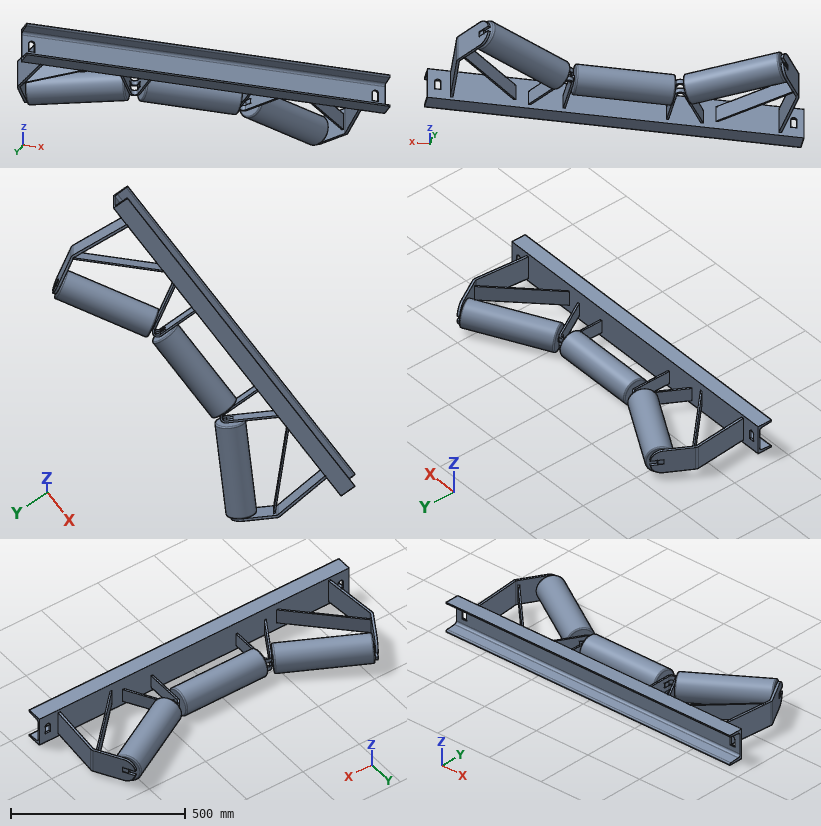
import cadquery as cq
import math

CHANNEL_LENGTH = 1100
CHANNEL_HEIGHT = 100
FLANGE_WIDTH = 50
WEB_THICKNESS = 6
FLANGE_THICKNESS = 8.5
FLANGE_SLOPE = 0.08
ROOT_RADIUS = 8.5
TOE_RADIUS = 4.5

HOLE_WIDTH = 18
HOLE_HEIGHT = 34
HOLE_X = 520

ROLLER_RADIUS = 44.5
ROLLER_LENGTH = 290
ROLLER_EDGE_RADIUS = 4
SHAFT_WIDTH = 18
SHAFT_THICKNESS = 14
SHAFT_LENGTH = 310
SLOT_WIDTH = 16
SLOT_DEPTH = 60
ROLLER_END_GAP = 3
TROUGH_ANGLE = 30
TILT_ANGLE = 2.5
CENTRE_ROLLER_Y = 117
CENTRE_ROLLER_Z = -14
WING_X = 312
WING_Y = 199.77
WING_Z = -7

INNER_HEIGHT = 45
INNER_THICKNESS = 6
INNER_BEND_RADIUS = 10
INNER_TOP_Y = 142.5
OUTER_HEIGHT = 80
OUTER_THICKNESS = 8
OUTER_BEND_RADIUS = 8
OUTER_END_RADIUS = 38
OUTER_LEAN = 5
OUTER_END_MARGIN = 32
OUTER_BEND_Y = 181

STRUT_THICKNESS = 5
STRUT_HEIGHT = 50
STRUT_FOOT_X = 295.5
STRUT_ANGLE = 45


def polar(angle, length):
    """XY offset of the given length, with the angle in degrees from +X."""
    return (length * math.cos(math.radians(angle)), length * math.sin(math.radians(angle)))


def shifted(point, angle, length):
    """The XY point moved by the given length at the given angle."""
    dx, dy = polar(angle, length)
    return (point[0] + dx, point[1] + dy)


def mirrored(body):
    """The matching body on the -X side."""
    return body.mirror("YZ")


def make_channel():
    """Channel along X with a mounting hole near each end."""
    top = CHANNEL_HEIGHT / 2
    toe_z = top - FLANGE_THICKNESS + FLANGE_SLOPE * FLANGE_WIDTH / 2
    root_z = toe_z - FLANGE_SLOPE * (FLANGE_WIDTH - WEB_THICKNESS)
    channel = (
        cq.Workplane("YZ")
        .polyline([
            (0, -top), (0, top), (-FLANGE_WIDTH, top), (-FLANGE_WIDTH, toe_z),
            (-WEB_THICKNESS, root_z), (-WEB_THICKNESS, -root_z),
            (-FLANGE_WIDTH, -toe_z), (-FLANGE_WIDTH, -top),
        ])
        .close()
        .extrude(CHANNEL_LENGTH / 2, both=True)
    )
    for z in (root_z, -root_z):
        channel = channel.edges(cq.NearestToPointSelector((0, -WEB_THICKNESS, z))).fillet(ROOT_RADIUS)
    for z in (toe_z, -toe_z):
        channel = channel.edges(cq.NearestToPointSelector((0, -FLANGE_WIDTH, z))).fillet(TOE_RADIUS)

    half_width = HOLE_WIDTH / 2
    bottom = -HOLE_HEIGHT / 2
    arch = HOLE_HEIGHT / 2 - half_width
    for x in (-HOLE_X, HOLE_X):
        hole = (
            cq.Workplane("XZ")
            .moveTo(x - half_width, bottom)
            .lineTo(x + half_width, bottom)
            .lineTo(x + half_width, arch)
            .threePointArc((x, HOLE_HEIGHT / 2), (x - half_width, arch))
            .close()
            .extrude(FLANGE_WIDTH)
        )
        channel = channel.cut(hole)
    return channel


def make_roller():
    """Roller along X, centred on the origin."""
    drum = (
        cq.Workplane("YZ")
        .cylinder(ROLLER_LENGTH, ROLLER_RADIUS)
        .faces("<X or >X")
        .edges()
        .fillet(ROLLER_EDGE_RADIUS)
    )
    shaft = cq.Workplane("XY").box(SHAFT_LENGTH, SHAFT_WIDTH, SHAFT_THICKNESS)
    return drum.union(shaft)


def slot_cutter(end):
    """Flat-bottomed slot for the shaft at one end of a roller along X, open towards +Y."""
    length = SHAFT_LENGTH - ROLLER_LENGTH
    slot = cq.Workplane("XY").box(length, SLOT_DEPTH, SLOT_WIDTH)
    return slot.translate((end * (ROLLER_LENGTH + length) / 2, (SLOT_DEPTH - SHAFT_WIDTH) / 2, 0))


def place_centre(body):
    """Move a body from the origin to the centre roller's place."""
    return body.translate((0, CENTRE_ROLLER_Y, CENTRE_ROLLER_Z))


def place_wing(body):
    """Move a body from the origin to the +X wing roller's place."""
    origin = (0, 0, 0)
    return (
        body.rotate(origin, (0, 1, 0), -TILT_ANGLE)
        .rotate(origin, (0, 0, 1), TROUGH_ANGLE)
        .translate((WING_X, WING_Y, WING_Z))
    )


def make_inner_bracket():
    """Strip bent over 150 degrees, between the centre roller and the +X wing roller."""
    inside = INNER_BEND_RADIUS
    outside = inside + INNER_THICKNESS
    bend = (ROLLER_LENGTH / 2 + ROLLER_END_GAP + outside, INNER_TOP_Y - outside)
    leg_normal = TROUGH_ANGLE
    outer_tangent = shifted(bend, leg_normal, outside)
    inner_tangent = shifted(bend, leg_normal, inside)
    run = math.tan(math.radians(TROUGH_ANGLE))
    bracket = (
        cq.Workplane("XY")
        .moveTo(bend[0] - outside, 0)
        .lineTo(bend[0] - outside, bend[1])
        .threePointArc(shifted(bend, 90 + leg_normal / 2, outside), outer_tangent)
        .lineTo(outer_tangent[0] + outer_tangent[1] * run, 0)
        .lineTo(inner_tangent[0] + inner_tangent[1] * run, 0)
        .lineTo(*inner_tangent)
        .threePointArc(shifted(bend, 90 + leg_normal / 2, inside), (bend[0] - inside, bend[1]))
        .lineTo(bend[0] - inside, 0)
        .close()
        .extrude(INNER_HEIGHT / 2, both=True)
        .translate((0, 0, CENTRE_ROLLER_Z))
    )
    return bracket.cut(place_centre(slot_cutter(1))).cut(place_wing(slot_cutter(-1)))


def upper_leg_face():
    """Point where the +X wing roller's axis meets the inside face of the outer bracket."""
    return shifted((WING_X, WING_Y), TROUGH_ANGLE, ROLLER_LENGTH / 2 + ROLLER_END_GAP)


def outer_bend_centre():
    """Centre of the +X outer bracket's bend, set by the upper leg's inside face."""
    outside = OUTER_BEND_RADIUS + OUTER_THICKNESS
    y = OUTER_BEND_Y + outside * math.sin(math.radians(OUTER_LEAN))
    start = shifted(upper_leg_face(), TROUGH_ANGLE, -OUTER_BEND_RADIUS)
    x = start[0] + (start[1] - y) * math.tan(math.radians(TROUGH_ANGLE))
    return (x, y)


def make_outer_bracket():
    """Bent strip with a rounded, slotted upper end, outside the +X wing roller."""
    inside = OUTER_BEND_RADIUS
    outside = inside + OUTER_THICKNESS
    bend = outer_bend_centre()
    end_inside = shifted(upper_leg_face(), TROUGH_ANGLE + 90, OUTER_END_MARGIN)
    end_outside = shifted(end_inside, TROUGH_ANGLE, OUTER_THICKNESS)
    middle = (TROUGH_ANGLE - OUTER_LEAN) / 2
    lean = math.tan(math.radians(OUTER_LEAN))
    low_outside = shifted(bend, -OUTER_LEAN, outside)
    low_inside = shifted(bend, -OUTER_LEAN, inside)
    bracket = (
        cq.Workplane("XY")
        .moveTo(low_outside[0] - low_outside[1] * lean, 0)
        .lineTo(*low_outside)
        .threePointArc(shifted(bend, middle, outside), shifted(bend, TROUGH_ANGLE, outside))
        .lineTo(*end_outside)
        .lineTo(*end_inside)
        .lineTo(*shifted(bend, TROUGH_ANGLE, inside))
        .threePointArc(shifted(bend, middle, inside), low_inside)
        .lineTo(low_inside[0] - low_inside[1] * lean, 0)
        .close()
        .extrude(OUTER_HEIGHT / 2, both=True)
    )
    end_middle = shifted(end_inside, TROUGH_ANGLE, OUTER_THICKNESS / 2)
    for z in (-OUTER_HEIGHT / 2, OUTER_HEIGHT / 2):
        corner = cq.NearestToPointSelector((*end_middle, z))
        bracket = bracket.edges(corner).fillet(OUTER_END_RADIUS)
    return bracket.cut(place_wing(slot_cutter(1)))


def make_strut(outer_bracket):
    """Flat bar from the channel up to the bend of the +X outer bracket."""
    width = STRUT_THICKNESS / math.sin(math.radians(STRUT_ANGLE))
    foot_left = (STRUT_FOOT_X - width / 2, 0)
    foot_right = (STRUT_FOOT_X + width / 2, 0)
    length = math.dist(foot_left, outer_bend_centre()) + OUTER_BEND_RADIUS + OUTER_THICKNESS
    strut = (
        cq.Workplane("XY")
        .polyline([
            foot_left, foot_right,
            shifted(foot_right, STRUT_ANGLE, length), shifted(foot_left, STRUT_ANGLE, length),
        ])
        .close()
        .extrude(STRUT_HEIGHT / 2, both=True)
    )
    return strut.cut(outer_bracket).solids("<X")


channel = make_channel()
centre_roller = place_centre(make_roller())
wing_roller = place_wing(make_roller())
inner_bracket = make_inner_bracket()
outer_bracket = make_outer_bracket()
strut = make_strut(outer_bracket)

bodies = [channel.val(), centre_roller.val()]
for body in (wing_roller, inner_bracket, outer_bracket, strut):
    bodies += [body.val(), mirrored(body).val()]

result = cq.Compound.makeCompound(bodies)